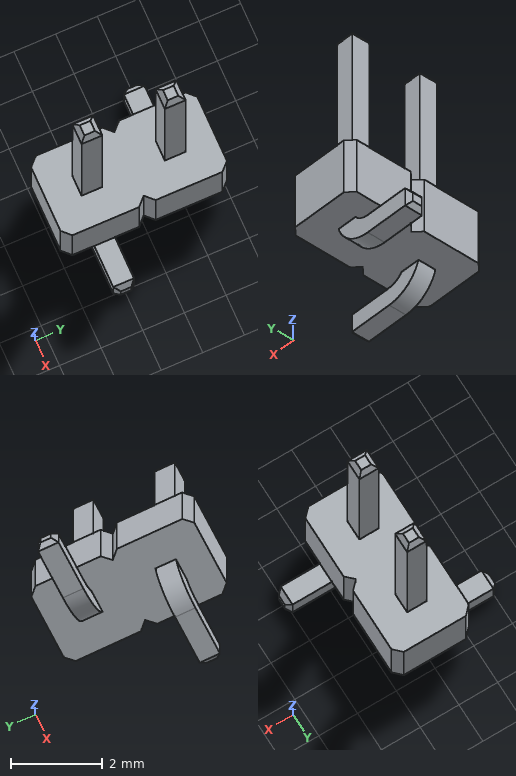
import cadquery as cq
import math

foot_span = 4.2
body_length = 4.0
total_height = 6.2

pin_count = 2
pitch = body_length / pin_count
body_width = pitch
body_height = 1.5
body_bottom = 0.7
corner_cut = 0.2

pin_size = 0.5
half_pin = pin_size / 2
tip_chamfer = 0.125
bend_inner_radius = pin_size
bend_outer_radius = bend_inner_radius + pin_size


def body_section(y):
    """One octagonal block of the body, centred at y."""
    return (
        cq.Workplane("XY")
        .box(body_width, pitch, body_height, centered=(True, True, False))
        .edges("|Z")
        .chamfer(corner_cut)
        .translate((0, y, body_bottom))
    )


def bent_pin(y, turn):
    """Upright pin at y whose foot bends toward +X (turned 0) or -X (turned 180 degrees)."""
    bend_x = half_pin + bend_inner_radius
    bend_z = bend_outer_radius
    foot_end = foot_span / 2
    diagonal = math.sqrt(0.5)

    def mid_bend(radius):
        return (bend_x - radius * diagonal, bend_z - radius * diagonal)

    pin = (
        cq.Workplane("XZ")
        .moveTo(-half_pin, total_height)
        .lineTo(-half_pin, bend_z)
        .threePointArc(mid_bend(bend_outer_radius), (bend_x, 0))
        .lineTo(foot_end, 0)
        .lineTo(foot_end, pin_size)
        .lineTo(bend_x, pin_size)
        .threePointArc(mid_bend(bend_inner_radius), (half_pin, bend_z))
        .lineTo(half_pin, total_height)
        .close()
        .extrude(half_pin, both=True)
    )
    pin = pin.faces(">Z").edges().chamfer(tip_chamfer)
    pin = pin.faces(">X").edges().chamfer(tip_chamfer)
    return pin.rotate((0, 0, 0), (0, 0, 1), turn).translate((0, y, 0))


result = cq.Workplane("XY")
for index in range(pin_count):
    pin_y = (index - (pin_count - 1) / 2) * pitch
    result = result.union(body_section(pin_y)).union(bent_pin(pin_y, 180 * index))
result = result.clean()